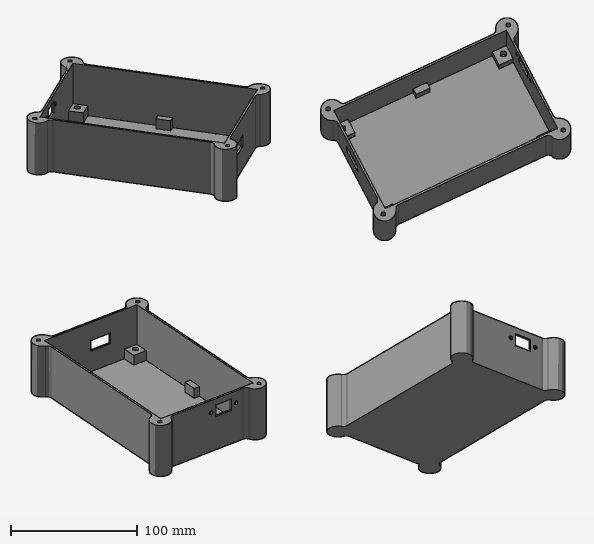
import cadquery as cq
import math

length = 156.0
width = 95.3
height = 47.1
wall = 1.7
floor = 1.7
inner_length = length - 2 * wall
inner_width = width - 2 * wall

overall_length = 172.7
overall_width = 112.0
lobe_radius = 9.0
blend_radius = 4.1
lobe_x = overall_length / 2 - lobe_radius
lobe_y = overall_width / 2 - lobe_radius
lid_hole_diameter = 3.5
lid_hole_offset = 2.2
lid_hole_depth = 20.0

post_size = 12.5
post_height = 9.0
post_hole_diameter = 4.8
post_hole_inset = 5.2
tab_length = 12.3
tab_depth = 5.4
tab_height = 9.0

connector_y = -15.4
connector_z = 36.1
connector_width = 15.4
connector_height = 10.5
connector_screw_diameter = 3.3
connector_screw_spacing = 24.9

window_y = -10.0
window_z = 25.5
window_width = 19.3
window_height = 9.7

corner_signs = [(sx, sy) for sx in (-1, 1) for sy in (-1, 1)]


def block(size_x, size_y, size_z, x, y, z):
    """Box centred on x and y, standing on z."""
    return cq.Workplane("XY").box(size_x, size_y, size_z, centered=(True, True, False)).translate((x, y, z))


def screw_column(sx, sy):
    """Solid corner column: a round lobe joined to both walls by blend arcs."""
    center_distance = lobe_radius + blend_radius
    wall_x = length / 2
    wall_y = width / 2
    side_x = wall_x + blend_radius
    side_y = lobe_y - math.sqrt(center_distance**2 - (side_x - lobe_x) ** 2)
    end_y = wall_y + blend_radius
    end_x = lobe_x - math.sqrt(center_distance**2 - (end_y - lobe_y) ** 2)

    def arc_points(center_x, center_y, wall_point):
        """Middle of a blend arc and its tangent point on the lobe."""
        share = blend_radius / center_distance
        touch = (center_x + share * (lobe_x - center_x), center_y + share * (lobe_y - center_y))
        direction_x = wall_point[0] + touch[0] - 2 * center_x
        direction_y = wall_point[1] + touch[1] - 2 * center_y
        scale = blend_radius / math.hypot(direction_x, direction_y)
        middle = (center_x + scale * direction_x, center_y + scale * direction_y)
        return middle, touch

    side_start = (wall_x, side_y)
    end_start = (end_x, wall_y)
    side_middle, side_touch = arc_points(side_x, side_y, side_start)
    end_middle, end_touch = arc_points(end_x, end_y, end_start)
    outer_middle = (lobe_x + lobe_radius * math.sqrt(0.5), lobe_y + lobe_radius * math.sqrt(0.5))

    def mirrored(point):
        return (sx * point[0], sy * point[1])

    return (
        cq.Workplane("XY")
        .moveTo(*mirrored((end_x, side_y)))
        .lineTo(*mirrored(side_start))
        .threePointArc(mirrored(side_middle), mirrored(side_touch))
        .threePointArc(mirrored(outer_middle), mirrored(end_touch))
        .threePointArc(mirrored(end_middle), mirrored(end_start))
        .close()
        .extrude(height)
    )


def round_cutters(points, diameter, bottom, depth):
    """Upright cylinders at the given points, standing on the height bottom."""
    return cq.Workplane("XY", origin=(0, 0, bottom)).pushPoints(points).circle(diameter / 2).extrude(depth)


def wall_screw_hole(y):
    """Cutter along X through the -X wall."""
    start = cq.Vector(-length / 2 - wall, y, connector_z)
    return cq.Solid.makeCylinder(connector_screw_diameter / 2, 3 * wall, start, cq.Vector(1, 0, 0))


body = block(length, width, height, 0, 0, 0)
for sx, sy in corner_signs:
    body = body.union(screw_column(sx, sy))
body = body.cut(block(inner_length, inner_width, height, 0, 0, floor))

post_x = (inner_length - post_size) / 2
post_y = (inner_width - post_size) / 2
for sx, sy in corner_signs:
    body = body.union(block(post_size, post_size, post_height, sx * post_x, sy * post_y, floor))

for sy in (-1, 1):
    tab_y = sy * (inner_width - tab_depth) / 2
    body = body.union(block(tab_length, tab_depth, tab_height, 0, tab_y, floor))

post_holes = [
    (sx * (inner_length / 2 - post_hole_inset), sy * (inner_width / 2 - post_hole_inset))
    for sx, sy in corner_signs
]
body = body.cut(round_cutters(post_holes, post_hole_diameter, floor, post_height))

lid_holes = [(sx * (lobe_x + lid_hole_offset), sy * (lobe_y + lid_hole_offset)) for sx, sy in corner_signs]
body = body.cut(round_cutters(lid_holes, lid_hole_diameter, height - lid_hole_depth, lid_hole_depth))

end_wall_x = (length - wall) / 2
cut_depth = 3 * wall
connector_bottom = connector_z - connector_height / 2
window_bottom = window_z - window_height / 2
connector_opening = block(
    cut_depth, connector_width, connector_height, -end_wall_x, connector_y, connector_bottom
)
body = body.cut(connector_opening)
body = body.cut(block(cut_depth, window_width, window_height, end_wall_x, window_y, window_bottom))
for side in (-1, 1):
    screw_y = connector_y + side * connector_screw_spacing / 2
    body = body.cut(cq.Workplane(obj=wall_screw_hole(screw_y)))

result = body